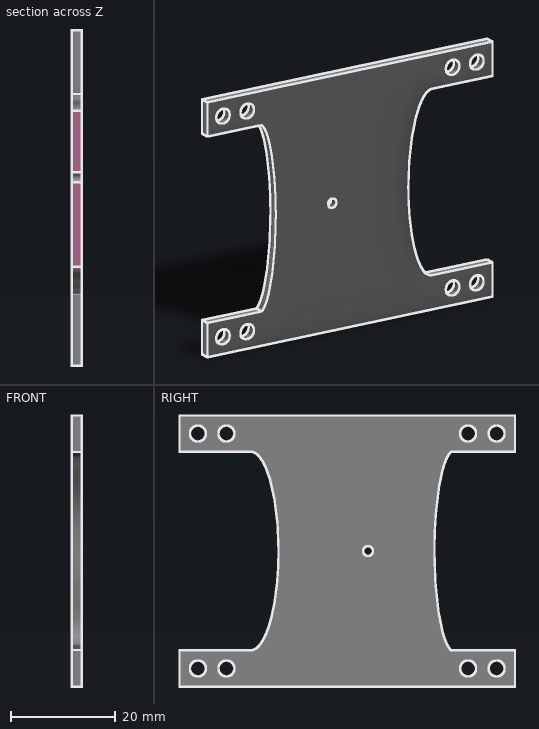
import cadquery as cq

thickness = 2.0
length = 64.3
height = 52.0
arm_width = 7.0
window_height = height - 2 * arm_width

left_tip = 16.7
left_depth = 3.85
left_half_height = 19.3
right_tip = -13.2
right_depth = 5.35
right_half_height = window_height / 2

mount_diameter = 3.0
mount_y_positions = (23.15, 28.6)
mount_z = (height - arm_width) / 2

pilot_diameter = 1.85
pilot_y = 4.0


def plate_block(y_min, y_max, block_height):
    """Block through the plate thickness, centred in Z, between two Y positions."""
    return cq.Workplane("XY").box(thickness, y_max - y_min, block_height).translate(
        (0, (y_min + y_max) / 2, 0)
    )


def side_window(tip, depth, half_height, side):
    """Opening between two arms, bounded inward by half an ellipse; side is +1 or -1 along Y."""
    centre = tip + side * depth
    edge = side * length / 2
    ellipse = (
        cq.Workplane("YZ")
        .center(centre, 0)
        .ellipse(half_height, depth, rotation_angle=90)
        .extrude(thickness)
        .translate((-thickness / 2, 0, 0))
    )
    outer = plate_block(min(centre, edge), max(centre, edge), window_height)
    inner = plate_block(min(tip, edge), max(tip, edge), window_height).intersect(ellipse)
    return outer.union(inner)


def round_holes(points, diameter):
    """Through holes along X at the given (Y, Z) points."""
    return (
        cq.Workplane("YZ")
        .pushPoints(points)
        .circle(diameter / 2)
        .extrude(thickness)
        .translate((-thickness / 2, 0, 0))
    )


mount_points = [
    (y_side * y, z_side * mount_z)
    for y in mount_y_positions
    for y_side in (-1, 1)
    for z_side in (-1, 1)
]

result = (
    plate_block(-length / 2, length / 2, height)
    .cut(side_window(left_tip, left_depth, left_half_height, 1))
    .cut(side_window(right_tip, right_depth, right_half_height, -1))
    .cut(round_holes(mount_points, mount_diameter))
    .cut(round_holes([(pilot_y, 0)], pilot_diameter))
)